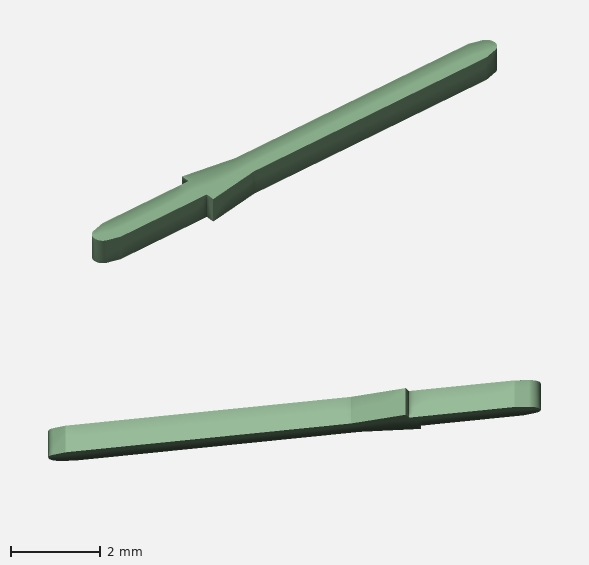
import cadquery as cq
import math

LENGTH = 11.6
THICKNESS = 0.63
SHAFT_WIDTH = 0.65

TIP_RADIUS = 0.24
TIP_LENGTH = 0.5

BARB_WIDTH = 1.1
BARB_SHOULDER = 2.99
BARB_LENGTH = 1.37

half_length = LENGTH / 2
half_shaft = SHAFT_WIDTH / 2
half_barb = BARB_WIDTH / 2
shoulder_y = BARB_SHOULDER - half_length
barb_end_y = shoulder_y + BARB_LENGTH
taper_y = half_length - TIP_LENGTH

tip_center_y = half_length - TIP_RADIUS
taper_drop = tip_center_y - taper_y
taper_distance = math.hypot(half_shaft, taper_drop)
tangent_angle = math.acos(TIP_RADIUS / taper_distance) - math.atan2(taper_drop, half_shaft)
tangent_x = TIP_RADIUS * math.cos(tangent_angle)
tangent_y = tip_center_y + TIP_RADIUS * math.sin(tangent_angle)


def make_pin():
    """Extrude the flat pin outline, centred on the origin."""
    right_half = (
        cq.Workplane("XY")
        .workplane(offset=-THICKNESS / 2)
        .moveTo(0, -half_length)
        .lineTo(0, half_length)
        .radiusArc((tangent_x, tangent_y), TIP_RADIUS)
        .lineTo(half_shaft, taper_y)
        .lineTo(half_shaft, barb_end_y)
        .lineTo(half_barb, shoulder_y)
        .lineTo(half_shaft, shoulder_y)
        .lineTo(half_shaft, -taper_y)
        .lineTo(tangent_x, -tangent_y)
        .radiusArc((0, -half_length), TIP_RADIUS)
        .close()
        .extrude(THICKNESS)
    )
    return right_half.union(right_half.mirror("YZ"))


result = make_pin()